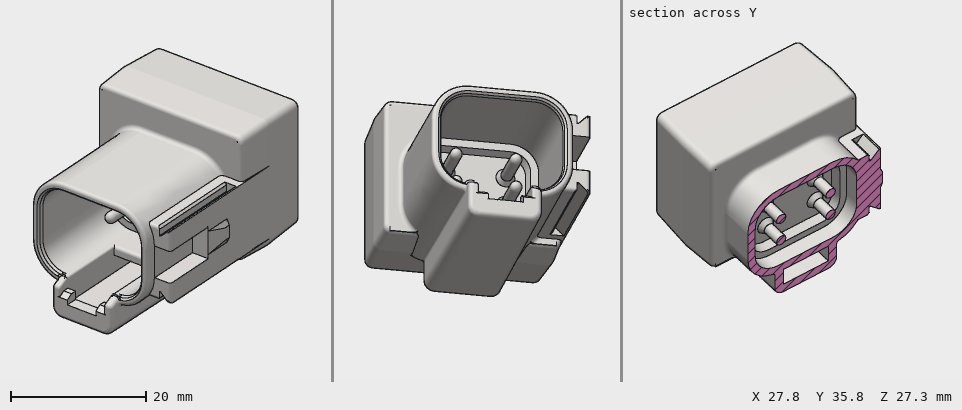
import cadquery as cq
import math


BLOCK_BACK_Y = 14.25
PARTING_Y = 6.23
BLOCK_HALF_WIDTH = 13.7
BLOCK_TOP_Z = 14.05
BLOCK_BOTTOM_Z = -7.85
BLOCK_DRAFT = 2.5
BLOCK_CORNER_RADIUS = 1.25
BLOCK_EDGE_FILLET = 0.7

CORNER_CENTER_X = 4.95
CORNER_CENTER_Z = 2.8
SHELL_RADIUS = 5.8
SHELL_DRAFT = 0.1
SHELL_FRONT_Y = -19.65
SHELL_MOUTH_FILLET = 0.57
SHELL_BASE_FILLET = 0.7

CAVITY_RADIUS = 4.35
CAVITY_FLOOR_Y = -2.85
RIM_RADIUS = 4.85
RIM_CHAMFER_RADIUS = 4.5
RIM_CHAMFER_DEPTH = 0.32
LEAD_IN_DEPTH = 0.5
RECESS_RADIUS = 3.1
RECESS_DEPTH = 1.45
RECESS_DRAFT = 18.0

PIN_PITCH_X = 9.1
PIN_PITCH_Z = 4.45
PIN_RADIUS = 0.9
PIN_FOOT_RADIUS = 1.45
PIN_FOOT_LENGTH = 0.9
PIN_TIP_Y = -9.3

TRAY_BACK_HALF_WIDTH = 5.85
TRAY_FRONT_HALF_WIDTH = 5.55
TRAY_BOTTOM_Z = -13.2
TRAY_BACK_Y = 7.9
TRAY_FRONT_Y = BLOCK_BACK_Y - 35.8
TRAY_CORNER_RADIUS = 1.6
TRAY_EDGE_FILLET = 0.68
TRAY_JOINT_FILLET = 0.45
CHEEK_TOP_Z = -(CORNER_CENTER_Z + CAVITY_RADIUS)
CHEEK_FRONT_Z = -8.02

CHANNEL_HALF_WIDTH = 4.1
CHANNEL_FLOOR_Z = -11.55
SILL_Z = -10.42
CHANNEL_EDGE_FILLET = 0.35
SLOT_END_Y = -8.25
SLOT_END_FILLET = 0.55

CATCH_INNER_X = 2.65
CATCH_TOP_Z = -9.0
CATCH_FRONT_Z = -9.65
CATCH_BACK_Y = -19.55
CATCH_SLOPE_Y = -20.55

RAIL_OUTER_X = 13.7
RAIL_HALF_HEIGHT = 6.25
RAIL_FRONT_Y = -17.85
RAIL_EDGE_FILLET = 0.55
GROOVE_INNER_X = 11.67
GROOVE_FLOOR_WIDTH = 0.2
GROOVE_CHAMFER = 0.35
GROOVE_LIP = 0.3
GROOVE_DEPTH = 1.47
GROOVE_BACK_Y = -1.45
GAP_INNER_X = 10.78
GAP_HALF_HEIGHT = 2.72
GAP_BACK_Y = -8.6

RAMP_FRONT_Y = -8.55
RAMP_CREST_Y = -5.12
RAMP_BACK_Y = -4.0
RAMP_HEIGHT = 0.43
RAMP_HALF_HEIGHT = 2.0
RAMP_CREST_HALF_HEIGHT = 1.07


def box(x0, x1, y0, y1, z0, z1):
    return cq.Workplane("XY").box(x1 - x0, y1 - y0, z1 - z0, centered=False).translate((x0, y0, z0))


def front_plane(y):
    """Sketch plane at the given Y, facing -Y."""
    return cq.Workplane("XZ", origin=(0, y, 0))


def shell_section(y, radius):
    """Rounded rectangle with the given corner radius around the shared corner centres."""
    width = 2 * (CORNER_CENTER_X + radius)
    height = 2 * (CORNER_CENTER_Z + radius)
    return front_plane(y).sketch().rect(width, height).vertices().fillet(radius).finalize()


def block_half(depth):
    """One half of the block, tapering from the parting plane over the signed depth."""
    height = BLOCK_TOP_Z - BLOCK_BOTTOM_Z
    middle_z = (BLOCK_TOP_Z + BLOCK_BOTTOM_Z) / 2
    return (
        cq.Workplane("XZ", origin=(0, PARTING_Y, middle_z))
        .rect(2 * BLOCK_HALF_WIDTH, height)
        .extrude(depth, taper=BLOCK_DRAFT)
        .edges("not (<Y or >Y)")
        .fillet(BLOCK_CORNER_RADIUS)
    )


def make_block():
    front = block_half(PARTING_Y).faces("<Y").edges().fillet(BLOCK_EDGE_FILLET)
    back = block_half(PARTING_Y - BLOCK_BACK_Y).faces(">Y").edges().fillet(BLOCK_EDGE_FILLET)
    return front.union(back)


def make_shell():
    """Solid shell body; its underside runs on below the block as far as the tray."""
    root = shell_section(0, SHELL_RADIUS).extrude(TRAY_EDGE_FILLET - TRAY_BACK_Y)
    body = shell_section(0, SHELL_RADIUS).extrude(-SHELL_FRONT_Y, taper=SHELL_DRAFT).union(root)
    return body.faces("<Y").edges().fillet(SHELL_MOUTH_FILLET)


def make_shell_base():
    """Concave fillet between the shell and the block's flat front face."""
    margin = BLOCK_EDGE_FILLET + 0.35
    half_width = BLOCK_HALF_WIDTH - margin
    stub = shell_section(0, SHELL_RADIUS).extrude(2 * SHELL_BASE_FILLET, taper=SHELL_DRAFT)
    plate = box(-2 * half_width, 2 * half_width, 0, margin, -2 * BLOCK_TOP_Z, 2 * BLOCK_TOP_Z)
    flare = plate.union(stub).edges(cq.selectors.BoxSelector(
        (-half_width, -0.05, -BLOCK_TOP_Z), (half_width, 0.05, BLOCK_TOP_Z)
    )).fillet(SHELL_BASE_FILLET)
    front_face = box(
        -half_width, half_width, -margin, margin, BLOCK_BOTTOM_Z + margin / 2, BLOCK_TOP_Z - margin
    )
    return flare.intersect(front_face)


def mouth_step(y, radius, inner_radius, depth):
    """Funnel step of the socket mouth, narrowing from its front at Y over the depth."""
    draft = math.degrees(math.atan((radius - inner_radius) / depth))
    return shell_section(y, radius).extrude(-depth, taper=draft)


def make_socket():
    """Material removed from the shell: stepped mouth, cavity and drafted floor recess."""
    lead_in_y = SHELL_FRONT_Y + RIM_CHAMFER_DEPTH
    cavity_y = lead_in_y + LEAD_IN_DEPTH
    rim = mouth_step(SHELL_FRONT_Y, RIM_RADIUS, RIM_CHAMFER_RADIUS, RIM_CHAMFER_DEPTH)
    lead_in = mouth_step(lead_in_y, RIM_CHAMFER_RADIUS, CAVITY_RADIUS, LEAD_IN_DEPTH)
    cavity = shell_section(cavity_y, CAVITY_RADIUS).extrude(cavity_y - CAVITY_FLOOR_Y)
    recess = shell_section(CAVITY_FLOOR_Y, RECESS_RADIUS).extrude(-RECESS_DEPTH, taper=RECESS_DRAFT)
    return cavity.union(lead_in).union(rim).union(recess)


def make_pin(x, z):
    """Domed round pin on a conical foot, standing on the recess floor."""
    floor_y = CAVITY_FLOOR_Y + RECESS_DEPTH
    dome_y = PIN_TIP_Y + PIN_RADIUS
    dome_middle = PIN_RADIUS * math.sqrt(0.5)
    profile = (
        cq.Workplane("XY")
        .moveTo(0, floor_y)
        .lineTo(PIN_FOOT_RADIUS, floor_y)
        .lineTo(PIN_RADIUS, floor_y - PIN_FOOT_LENGTH)
        .lineTo(PIN_RADIUS, dome_y)
        .threePointArc((dome_middle, dome_y - dome_middle), (0, PIN_TIP_Y))
        .close()
    )
    return profile.revolve(360, (0, 0), (0, 1)).translate((x, 0, z))


def make_tray():
    """Solid tray body, narrowing to the front, with sloping cheeks ahead of the shell."""
    body = (
        cq.Workplane("XY", origin=(0, 0, TRAY_BOTTOM_Z))
        .moveTo(-TRAY_BACK_HALF_WIDTH, TRAY_BACK_Y)
        .lineTo(TRAY_BACK_HALF_WIDTH, TRAY_BACK_Y)
        .lineTo(TRAY_FRONT_HALF_WIDTH, TRAY_FRONT_Y)
        .lineTo(-TRAY_FRONT_HALF_WIDTH, TRAY_FRONT_Y)
        .close()
        .extrude(CHEEK_TOP_Z - TRAY_BOTTOM_Z)
    )
    slope = (
        cq.Workplane("YZ")
        .moveTo(SHELL_FRONT_Y, CHEEK_TOP_Z)
        .lineTo(TRAY_FRONT_Y, CHEEK_TOP_Z)
        .lineTo(TRAY_FRONT_Y, CHEEK_FRONT_Z)
        .close()
        .extrude(TRAY_BACK_HALF_WIDTH, both=True)
    )
    body = body.faces("<Z").edges("not (<Y or >Y)").fillet(TRAY_CORNER_RADIUS).cut(slope)
    cheek_sides = body.edges(cq.selectors.BoxSelector(
        (-TRAY_BACK_HALF_WIDTH, TRAY_FRONT_Y, CHEEK_FRONT_Z),
        (TRAY_BACK_HALF_WIDTH, SHELL_FRONT_Y, CHEEK_TOP_Z),
    ))
    return cheek_sides.add(body.faces("<Y or >Y").edges()).fillet(TRAY_EDGE_FILLET)


def round_tray_joint(body):
    """Concave fillets where the tray's sides meet the underside of the shell."""
    joint_z = -(CORNER_CENTER_Z + SHELL_RADIUS)
    joints = body.edges(cq.selectors.BoxSelector(
        (-TRAY_BACK_HALF_WIDTH, SHELL_FRONT_Y + SHELL_MOUTH_FILLET, joint_z - 0.35),
        (TRAY_BACK_HALF_WIDTH, TRAY_BACK_Y - 2 * TRAY_EDGE_FILLET, joint_z + 0.35),
    ))
    return joints.fillet(TRAY_JOINT_FILLET)


def channel_box(y0, y1, half_width, top_z):
    return box(-half_width, half_width, y0, y1, CHANNEL_FLOOR_Z, top_z)


def make_channelled_tray():
    """Tray with its channel cut and the upper inner edges of the channel walls rounded."""
    channel = channel_box(TRAY_FRONT_Y, TRAY_BACK_Y, CHANNEL_HALF_WIDTH, CHEEK_TOP_Z)
    tray = make_tray().cut(channel)
    margin = CHANNEL_HALF_WIDTH + CHANNEL_EDGE_FILLET
    wall_edges = tray.edges(cq.selectors.BoxSelector(
        (-margin, TRAY_FRONT_Y, CHEEK_FRONT_Z - TRAY_EDGE_FILLET),
        (margin, TRAY_BACK_Y - 2 * TRAY_EDGE_FILLET, CHEEK_TOP_Z + 0.05),
    ))
    return wall_edges.fillet(CHANNEL_EDGE_FILLET)


def cut_channel(body):
    """Open the channel under the shell, and ahead of the slot end into the socket.

    The slot clears the rounded tops of the channel walls, which the channelled tray puts back.
    """
    under_shell = channel_box(
        SLOT_END_Y, TRAY_BACK_Y, CHANNEL_HALF_WIDTH, -(CORNER_CENTER_Z + SHELL_RADIUS)
    )
    slot = channel_box(TRAY_FRONT_Y, SLOT_END_Y, CHANNEL_HALF_WIDTH + CHANNEL_EDGE_FILLET, 0)
    body = body.cut(under_shell).cut(slot)
    end_edge = cq.selectors.BoxSelector(
        (-0.35, SLOT_END_Y - 0.05, CHEEK_TOP_Z - 0.05), (0.35, SLOT_END_Y + 0.05, CHEEK_TOP_Z + 0.05)
    )
    return body.edges(end_edge).fillet(SLOT_END_FILLET).union(make_channelled_tray())


def make_sill():
    """Front wall of the channel, set into the rounded front edges of the tray's cheeks."""
    half_width = CHANNEL_HALF_WIDTH + CHANNEL_EDGE_FILLET
    return box(
        -half_width, half_width, TRAY_FRONT_Y, CATCH_BACK_Y, CHANNEL_FLOOR_Z, SILL_Z
    )


def make_catch(side):
    """Catch block with a sloping front, set into the cheek on the side given by the sign of X."""
    length = CHANNEL_HALF_WIDTH + CHANNEL_EDGE_FILLET - CATCH_INNER_X
    catch = (
        cq.Workplane("YZ", origin=(CATCH_INNER_X, 0, 0))
        .moveTo(CATCH_BACK_Y, SILL_Z)
        .lineTo(CATCH_BACK_Y, CATCH_TOP_Z)
        .lineTo(CATCH_SLOPE_Y, CATCH_TOP_Z)
        .lineTo(TRAY_FRONT_Y, CATCH_FRONT_Z)
        .lineTo(TRAY_FRONT_Y, SILL_Z)
        .close()
        .extrude(length)
    )
    return catch if side > 0 else catch.mirror("YZ")


def make_groove():
    """V groove in the rail's top, with a chamfered vertical inner wall and a sloping outer wall."""
    return (
        front_plane(GROOVE_BACK_Y)
        .moveTo(GROOVE_INNER_X - GROOVE_CHAMFER, RAIL_HALF_HEIGHT)
        .lineTo(GROOVE_INNER_X, RAIL_HALF_HEIGHT - GROOVE_CHAMFER)
        .lineTo(GROOVE_INNER_X, RAIL_HALF_HEIGHT - GROOVE_DEPTH)
        .lineTo(GROOVE_INNER_X + GROOVE_FLOOR_WIDTH, RAIL_HALF_HEIGHT - GROOVE_DEPTH)
        .lineTo(RAIL_OUTER_X - GROOVE_LIP, RAIL_HALF_HEIGHT)
        .close()
        .extrude(GROOVE_BACK_Y - RAIL_FRONT_Y)
    )


def make_rail():
    rail = box(
        CORNER_CENTER_X + CAVITY_RADIUS, RAIL_OUTER_X, RAIL_FRONT_Y, PARTING_Y,
        -RAIL_HALF_HEIGHT, RAIL_HALF_HEIGHT
    )
    rail = rail.faces("<Y").edges("not <X").fillet(RAIL_EDGE_FILLET)
    groove = make_groove()
    gap = box(
        GAP_INNER_X, RAIL_OUTER_X, RAIL_FRONT_Y, GAP_BACK_Y, -GAP_HALF_HEIGHT, GAP_HALF_HEIGHT
    )
    return rail.cut(groove).cut(groove.mirror("XY")).cut(gap)


def make_ramp():
    """Snap ramp rising towards the block, with its crest bevelled above and below."""
    wedge = (
        cq.Workplane("XY")
        .moveTo(RAIL_OUTER_X, RAMP_FRONT_Y)
        .lineTo(RAIL_OUTER_X + RAMP_HEIGHT, RAMP_CREST_Y)
        .lineTo(RAIL_OUTER_X + RAMP_HEIGHT, RAMP_BACK_Y)
        .lineTo(RAIL_OUTER_X, RAMP_BACK_Y)
        .close()
        .extrude(RAMP_HALF_HEIGHT, both=True)
    )
    bevels = (
        front_plane(RAMP_BACK_Y)
        .moveTo(RAIL_OUTER_X, -RAMP_HALF_HEIGHT)
        .lineTo(RAIL_OUTER_X + RAMP_HEIGHT, -RAMP_CREST_HALF_HEIGHT)
        .lineTo(RAIL_OUTER_X + RAMP_HEIGHT, RAMP_CREST_HALF_HEIGHT)
        .lineTo(RAIL_OUTER_X, RAMP_HALF_HEIGHT)
        .close()
        .extrude(RAMP_BACK_Y - RAMP_FRONT_Y)
    )
    return wedge.intersect(bevels)


shell_and_tray = round_tray_joint(make_shell().union(make_tray()))
body = make_block().union(make_shell_base()).union(make_rail()).union(make_ramp())
body = cut_channel(body.union(shell_and_tray).cut(make_socket())).union(make_sill())

for side in (-1, 1):
    body = body.union(make_catch(side))
    for level in (-1, 1):
        body = body.union(make_pin(side * PIN_PITCH_X / 2, level * PIN_PITCH_Z / 2))

result = body